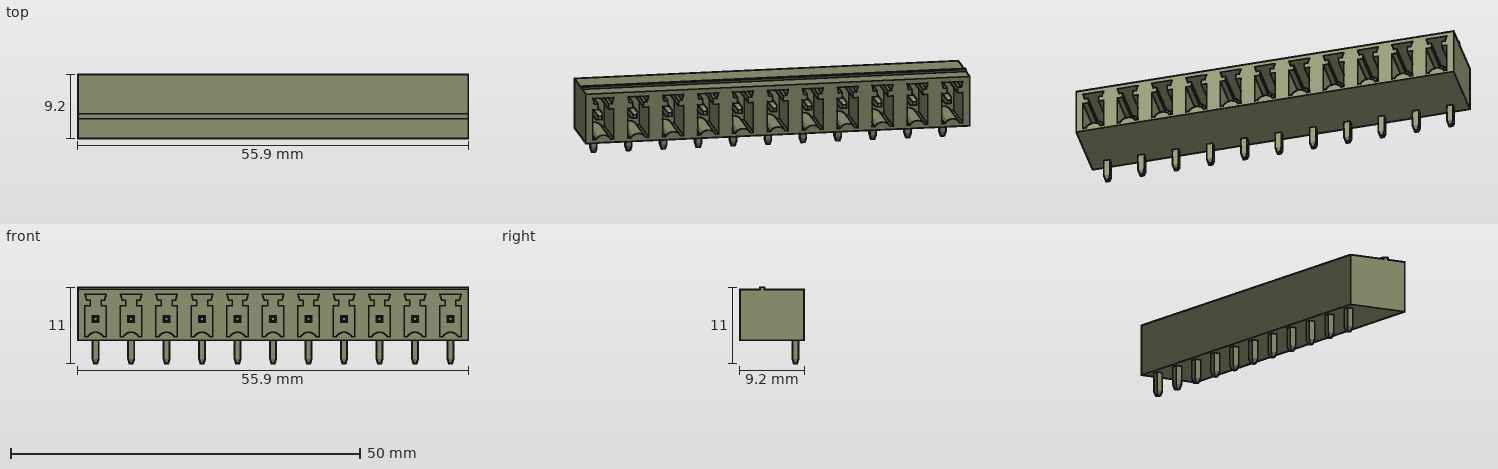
import cadquery as cq

POSITIONS = 11
PITCH = 5.08
LENGTH = POSITIONS * PITCH
DEPTH = 9.2
TOTAL_HEIGHT = 10.95
PIN_DROP = 3.35
RIDGE_HEIGHT = 0.3
HOUSING_HEIGHT = TOTAL_HEIGHT - PIN_DROP - RIDGE_HEIGHT

RIDGE_FRONT = 2.85
RIDGE_WIDTH = 0.7

SOCKET_WIDTH = 3.05
SOCKET_BOTTOM = 0.5
SOCKET_DEPTH = 7.4
SHOULDER_Z = 4.95
NECK_WIDTH = 1.55
NECK_TOP = 5.75
KEY_BASE_WIDTH = 2.55
SOCKET_TOP = 6.6
BUMP_WIDTH = 2.2
BUMP_HEIGHT = 0.65

PIN_SIZE = 0.9
PIN_TIP_SIZE = 0.5
PIN_TIP_LENGTH = 0.7
CONTACT_Z = 3.05
CONTACT_FRONT = 2.5
LEG_Y = DEPTH - 1.25


def make_housing():
    """Rectangular body with a narrow ridge along its top face."""
    body = cq.Workplane("XY").box(LENGTH, DEPTH, HOUSING_HEIGHT, centered=(True, False, False))
    ridge = (
        cq.Workplane("XY")
        .box(LENGTH, RIDGE_WIDTH, RIDGE_HEIGHT, centered=(True, False, False))
        .translate((0, RIDGE_FRONT, HOUSING_HEIGHT))
    )
    return body.union(ridge)


def make_socket():
    """Socket cavity: wide chamber with a rounded floor bump, a neck and a dovetail keyway."""
    side = SOCKET_WIDTH / 2
    neck = NECK_WIDTH / 2
    key = KEY_BASE_WIDTH / 2
    bump = BUMP_WIDTH / 2
    return (
        cq.Workplane("XZ")
        .moveTo(-side, SOCKET_BOTTOM)
        .lineTo(-bump, SOCKET_BOTTOM)
        .threePointArc((0, SOCKET_BOTTOM + BUMP_HEIGHT), (bump, SOCKET_BOTTOM))
        .lineTo(side, SOCKET_BOTTOM)
        .lineTo(side, SHOULDER_Z)
        .lineTo(neck, SHOULDER_Z)
        .lineTo(neck, NECK_TOP)
        .lineTo(key, NECK_TOP)
        .lineTo(side, SOCKET_TOP)
        .lineTo(-side, SOCKET_TOP)
        .lineTo(-key, NECK_TOP)
        .lineTo(-neck, NECK_TOP)
        .lineTo(-neck, SHOULDER_Z)
        .lineTo(-side, SHOULDER_Z)
        .close()
        .extrude(-SOCKET_DEPTH)
    )


def make_bar(length):
    """Square bar from the origin along +Z, tapered at its far end."""
    shank_length = length - PIN_TIP_LENGTH
    shank = cq.Workplane("XY").rect(PIN_SIZE, PIN_SIZE).extrude(shank_length)
    tip = (
        cq.Workplane("XY")
        .workplane(offset=shank_length)
        .rect(PIN_SIZE, PIN_SIZE)
        .workplane(offset=PIN_TIP_LENGTH)
        .rect(PIN_TIP_SIZE, PIN_TIP_SIZE)
        .loft(ruled=True)
    )
    return shank.union(tip)


def make_pin():
    """Right-angle pin: a contact pointing to the front and a leg pointing down."""
    origin = (0, 0, 0)
    x_axis = (1, 0, 0)
    bend = (0, LEG_Y, CONTACT_Z)
    contact = make_bar(LEG_Y - CONTACT_FRONT).rotate(origin, x_axis, 90).translate(bend)
    leg = make_bar(CONTACT_Z + PIN_DROP).rotate(origin, x_axis, 180).translate(bend)
    return contact.union(leg)


socket = make_socket()
pin = make_pin()
result = make_housing()
for index in range(POSITIONS):
    place = ((index - (POSITIONS - 1) / 2) * PITCH, 0, 0)
    result = result.cut(socket.translate(place)).union(pin.translate(place))